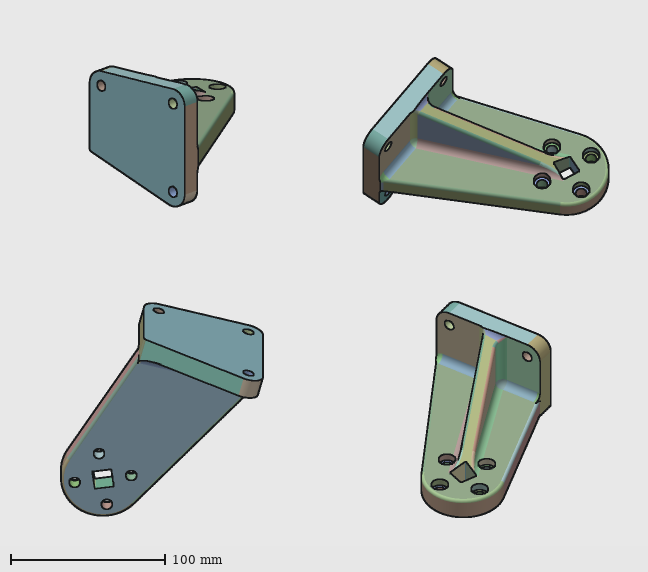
import cadquery as cq
import math

plate_size = 80.0
plate_depth = 13.0
plate_corner_radius = 10.0
plate_low_corner_radius = 2.0
plate_hole_inset = 10.0
screw_hole_diameter = 7.0

arm_bottom = 24.0
arm_top = 39.0
arm_end_radius = 27.4
arm_end_x = 0.0
total_depth = 132.5
arm_end_y = total_depth - arm_end_radius
arm_edge_round = 2.0
junction_fillet = 4.9

rib_angle = 22.5
square_side = 12.5
square_corner_radius = 0.5
square_turn = 45
bolt_square_side = 26.2
counterbore_diameter = 11.0
counterbore_depth = 5.0

rib_width = 10.0
rib_edge_round = 2.0
rib_plate_height = 78.3
rib_slope = 21.4
rib_overlap = 2.6

rib_x = math.sin(math.radians(rib_angle))
rib_y = -math.cos(math.radians(rib_angle))
rib_grade = math.tan(math.radians(rib_slope))

margin = 26.5
selection_gap = 0.1


def tangent_point(corner, center, radius, side):
    """Point where a line from the corner touches the circle; side +1 or -1 picks the tangent."""
    dx = corner[0] - center[0]
    dy = corner[1] - center[1]
    toward_corner = math.atan2(dy, dx)
    angle = toward_corner - side * math.acos(radius / math.hypot(dx, dy))
    return (center[0] + radius * math.cos(angle), center[1] + radius * math.sin(angle))


def plate_outline(depth):
    """Solid with the outline of the plate, reaching from the mounting face (Y = 0) to the given depth."""
    far_inset = plate_size - plate_corner_radius
    low_corner = (0, arm_bottom)
    low_center = (far_inset, plate_corner_radius)
    low_tangent = tangent_point(low_corner, low_center, plate_corner_radius, -1)
    outline = (
        cq.Workplane("XZ", origin=(0, depth, 0))
        .moveTo(*low_corner)
        .lineTo(*low_tangent)
        .threePointArc((far_inset, 0), (plate_size, plate_corner_radius))
        .lineTo(plate_size, plate_size)
        .lineTo(0, plate_size)
        .close()
        .extrude(depth)
    )
    outline = outline.edges("|Y").edges(">Z").fillet(plate_corner_radius)
    return outline.edges("|Y").edges("<X").edges("<Z").fillet(plate_low_corner_radius)


def make_arm():
    center = (arm_end_x, arm_end_y)
    left_corner = (0, plate_depth)
    right_corner = (plate_size, plate_depth)
    left_tangent = tangent_point(left_corner, center, arm_end_radius, 1)
    right_tangent = tangent_point(right_corner, center, arm_end_radius, -1)
    arm = (
        cq.Workplane("XY", origin=(0, 0, arm_bottom))
        .moveTo(*left_corner)
        .lineTo(*right_corner)
        .lineTo(*right_tangent)
        .threePointArc((arm_end_x, arm_end_y + arm_end_radius), left_tangent)
        .close()
        .extrude(arm_top - arm_bottom)
    )
    return arm.faces("<Z or >Z").edges("not <Y").fillet(arm_edge_round)


def make_rib():
    """Triangular web that sinks into the arm inside the square hole."""
    reach = (plate_depth - arm_end_y) / rib_y
    tip = reach - (rib_plate_height - arm_top) / rib_grade
    end = reach + rib_overlap
    profile_plane = cq.Plane(
        origin=(arm_end_x, arm_end_y, 0),
        xDir=(rib_x, rib_y, 0),
        normal=(rib_y, -rib_x, 0),
    )
    return (
        cq.Workplane(profile_plane)
        .moveTo(tip, arm_top)
        .lineTo(end, arm_top)
        .lineTo(end, arm_top + (end - tip) * rib_grade)
        .close()
        .extrude(rib_width / 2, both=True)
    )


def block(x_range, y_range, z_range):
    """Box filling the given (low, high) range along each axis."""
    lows = [axis_range[0] for axis_range in (x_range, y_range, z_range)]
    sizes = [axis_range[1] - axis_range[0] for axis_range in (x_range, y_range, z_range)]
    return cq.Workplane("XY").box(*sizes, centered=False).translate(tuple(lows))


def make_body():
    """Plate, arm and rib blended together.

    The blends are made against an oversize plate, then trimmed to the plate outline,
    so that they run off the plate's edges.
    """
    arm = make_arm()
    wide = (-margin, plate_size + margin)
    body = block(wide, (0, plate_depth), wide).union(arm).union(make_rib())

    on_plate_face = cq.selectors.BoxSelector(
        (-margin / 2, plate_depth - selection_gap, -margin / 2),
        (plate_size + margin / 2, plate_depth + selection_gap, plate_size + margin / 2),
        boundingbox=True,
    )
    along_rib_foot = cq.selectors.ParallelDirSelector(cq.Vector(rib_x, rib_y, 0))
    body = body.edges(on_plate_face + along_rib_foot).fillet(junction_fillet)

    along_rib_top = cq.selectors.ParallelDirSelector(cq.Vector(rib_x, rib_y, rib_grade))
    body = body.edges(along_rib_top).fillet(rib_edge_round)

    blend_end = plate_depth + 2 * junction_fillet
    beyond_blend = block((-2 * margin, plate_size + margin), (blend_end, total_depth + margin), wide)
    return body.intersect(plate_outline(blend_end).union(arm).union(beyond_blend))


def cut_plate_holes(body):
    near = plate_hole_inset
    far = plate_size - plate_hole_inset
    holes = (
        cq.Workplane("XZ", origin=(0, plate_depth + junction_fillet, 0))
        .pushPoints([(near, far), (far, far), (far, near)])
        .circle(screw_hole_diameter / 2)
        .extrude(plate_depth + junction_fillet)
    )
    return body.cut(holes)


def cut_arm_holes(body):
    """Square through hole and four counterbored screw holes whose pattern is turned with the rib."""
    turned = cq.Workplane(
        cq.Plane(origin=(arm_end_x, arm_end_y, arm_top), xDir=(-rib_y, rib_x, 0), normal=(0, 0, 1))
    )
    thickness = arm_top - arm_bottom
    square = (
        turned.workplane(offset=-thickness)
        .rect(square_side, square_side)
        .extrude(2 * thickness)
        .edges("|Z")
        .fillet(square_corner_radius)
        .rotate((arm_end_x, arm_end_y, 0), (arm_end_x, arm_end_y, 1), square_turn)
    )
    bolts = turned.rect(bolt_square_side, bolt_square_side, forConstruction=True).vertices()
    screw_holes = bolts.circle(screw_hole_diameter / 2).extrude(-thickness)
    counterbores = (
        turned.workplane(offset=-counterbore_depth)
        .rect(bolt_square_side, bolt_square_side, forConstruction=True)
        .vertices()
        .circle(counterbore_diameter / 2)
        .extrude(counterbore_depth + junction_fillet)
    )
    return body.cut(square).cut(screw_holes).cut(counterbores)


result = cut_arm_holes(cut_plate_holes(make_body()))